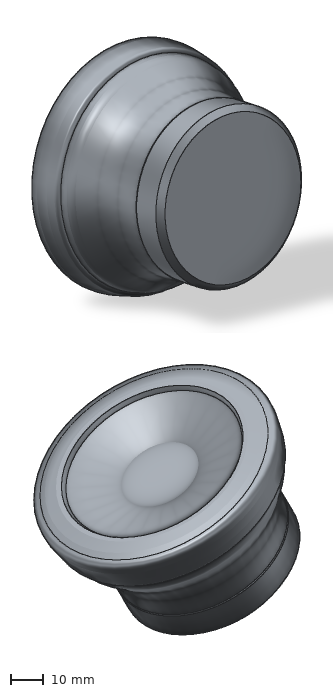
import cadquery as cq
import math

length = 50.0
rim_radius = 40.0

neck_radius = 57.6 / 2
collar_radius = 58.0 / 2
collar_chamfer = 2.0
collar_start = 38.95
collar_step_length = 0.5
neck_curve_end = 38.0

flare_start = 18.2
flare_height = 6.95
shoulder_start = 15.6
shoulder_slope = math.radians(12)

dish_edge_radius = 28.9
dish_floor_radius = 12.6
dish_floor_depth = 6.4

ring_back = 13.1
ring_face_thickness = 1.4
ring_seat_radius = 37.35
lip_inner_radius = 29.75
lip_outer_radius = 31.4
face_bend_radius = 35.35
face_bend_depth = 0.6
corner_radius = 38.5
corner_depth = 1.35
rim_start = 3.3
rim_end = 5.1
taper_bend = 8.95
taper_bend_radius = 39.35
taper_end = 12.0
taper_end_radius = 38.8

flare_run = neck_curve_end - flare_start
flare_arc_radius = (flare_run**2 + flare_height**2) / (2 * flare_height)
flare_slope = math.asin(flare_run / flare_arc_radius)
flare_radius = neck_radius + flare_height

shoulder_arc_radius = (flare_start - shoulder_start) / (math.sin(flare_slope) - math.sin(shoulder_slope))
shoulder_center_x = flare_start - shoulder_arc_radius * math.sin(flare_slope)
shoulder_center_radius = flare_radius - shoulder_arc_radius * math.cos(flare_slope)


def shoulder_point(slope):
    """Point (x, radius) on the rounded shoulder where the outline falls at the given slope."""
    return (
        shoulder_center_x + shoulder_arc_radius * math.sin(slope),
        shoulder_center_radius + shoulder_arc_radius * math.cos(slope),
    )


def flare_point(slope):
    """Point (x, radius) on the hollow arc where the outline falls at the given slope."""
    return (
        neck_curve_end - flare_arc_radius * math.sin(slope),
        neck_radius + flare_arc_radius * (1 - math.cos(slope)),
    )


def turn(profile):
    """Revolve a closed (x, radius) profile about the X axis."""
    return profile.close().revolve(360, (0, 0, 0), (1, 0, 0))


def make_knob():
    """Turned knob with a dished front, a head stepped for the ring, a flared neck and a collar."""
    profile = (
        cq.Workplane("XY")
        .moveTo(dish_floor_depth, 0)
        .lineTo(dish_floor_depth, dish_floor_radius)
        .lineTo(ring_face_thickness, dish_edge_radius)
        .lineTo(ring_face_thickness, ring_seat_radius)
        .lineTo(ring_back, ring_seat_radius)
        .lineTo(*shoulder_point(shoulder_slope))
        .threePointArc(shoulder_point((shoulder_slope + flare_slope) / 2), shoulder_point(flare_slope))
        .threePointArc(flare_point(flare_slope / 2), flare_point(0))
        .lineTo(collar_start - collar_step_length, neck_radius)
        .lineTo(collar_start, collar_radius)
        .lineTo(length - collar_chamfer, collar_radius)
        .lineTo(length, collar_radius - collar_chamfer)
        .lineTo(length, 0)
    )
    return turn(profile)


def make_ring():
    """Cover ring that wraps the front face and the side of the knob head."""
    profile = (
        cq.Workplane("XY")
        .moveTo(ring_face_thickness, dish_edge_radius)
        .lineTo(0, lip_inner_radius)
        .lineTo(0, lip_outer_radius)
        .lineTo(face_bend_depth, face_bend_radius)
        .lineTo(corner_depth, corner_radius)
        .tangentArcPoint((rim_start, rim_radius), relative=False)
        .lineTo(rim_end, rim_radius)
        .lineTo(taper_bend, taper_bend_radius)
        .lineTo(taper_end, taper_end_radius)
        .tangentArcPoint((ring_back, ring_seat_radius), relative=False)
        .lineTo(ring_face_thickness, ring_seat_radius)
    )
    return turn(profile)


knob = make_knob()
ring = make_ring()
result = cq.Compound.makeCompound([knob.val(), ring.val()])